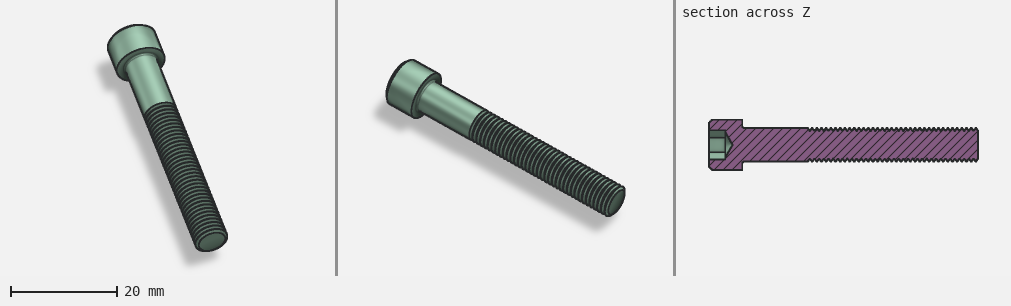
import cadquery as cq
import math

total_length = 50.8
shank_diameter = 6.35
head_diameter = 1.5 * shank_diameter
head_height = shank_diameter
head_chamfer = shank_diameter / 10
neck_fillet = 0.33

socket_across_flats = 0.75 * shank_diameter
socket_depth = 3.1
socket_cone_angle = 120.0

groove_count = 36
grooved_length = 31.75
thread_depth = 0.55

shank_radius = shank_diameter / 2
head_radius = head_diameter / 2
root_radius = shank_radius - thread_depth
thread_pitch = grooved_length / groove_count
crest_width = thread_pitch / 8
flank_width = (thread_pitch - crest_width) / 2
thread_start = total_length - flank_width - grooved_length


def turned(half_profile):
    """Close a half profile in the XZ plane and turn it about the X axis."""
    return half_profile.close().revolve(360, (0, 0, 0), (1, 0, 0))


def screw_blank():
    """Chamfered head, filleted neck, plain shank and grooved thread."""
    profile = (
        cq.Workplane("XZ")
        .lineTo(0, head_radius - head_chamfer)
        .lineTo(head_chamfer, head_radius)
        .lineTo(head_height, head_radius)
        .lineTo(head_height, shank_radius + neck_fillet)
        .radiusArc((head_height + neck_fillet, shank_radius), -neck_fillet)
        .lineTo(thread_start, shank_radius)
    )
    for groove in range(groove_count):
        groove_start = thread_start + groove * thread_pitch
        profile = (
            profile.lineTo(groove_start + flank_width, root_radius)
            .lineTo(groove_start + 2 * flank_width, shank_radius)
            .lineTo(groove_start + thread_pitch, shank_radius)
        )
    return turned(profile.lineTo(total_length, root_radius).lineTo(total_length, 0))


def hexagon_socket():
    """Hexagonal recess with flats facing up and down, ending in a cone."""
    across_corners = socket_across_flats / math.cos(math.pi / 6)
    hexagon = cq.Workplane("YZ").polygon(6, across_corners).extrude(socket_depth)
    cone_radius = socket_across_flats / 2
    cone_depth = cone_radius / math.tan(math.radians(socket_cone_angle / 2))
    cone = turned(
        cq.Workplane("XZ")
        .moveTo(socket_depth, 0)
        .lineTo(socket_depth, cone_radius)
        .lineTo(socket_depth + cone_depth, 0)
    )
    return hexagon.union(cone)


result = screw_blank().cut(hexagon_socket())